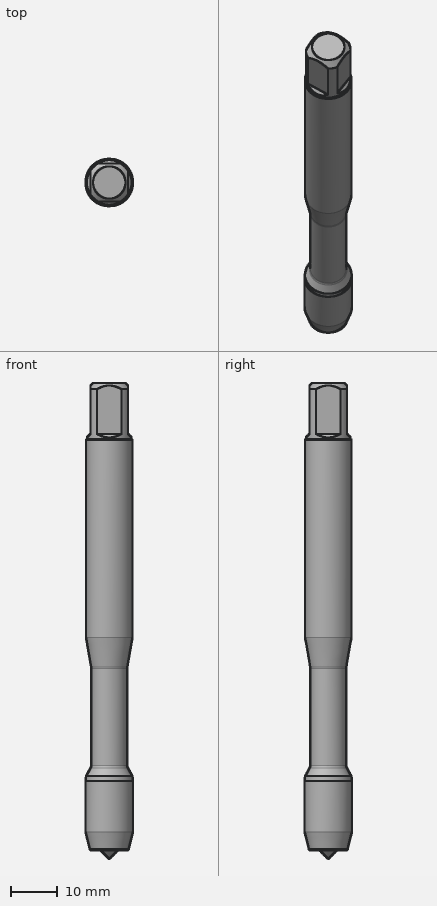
import cadquery as cq

length = 101.6
head_diameter = 10.2
shank_diameter = 10.0
neck_diameter = 7.7

drive_diameter = 9.6
drive_across_flats = 8.0
drive_length = 12.0
drive_flat_length = 10.9
drive_chamfer = 1.3

shank_bottom_z = 47.3
neck_top_z = 40.9
neck_bottom_z = 19.7
shoulder_bottom_z = 17.7
taper_blend_radius = 2.0
shoulder_blend_radius = 1.0

selection_margin = 0.1

head_top_z = 16.7
lead_top_z = 5.8
lead_bottom_z = 2.1
lead_bottom_diameter = 8.3
head_base_z = 1.8

shank_edge_chamfer = (shank_diameter - drive_diameter) / 2
drive_bottom_z = length - drive_length
flat_bottom_z = length - drive_flat_length
head_radius = head_diameter / 2
shank_radius = shank_diameter / 2
neck_radius = neck_diameter / 2
drive_radius = drive_diameter / 2
half_flats = drive_across_flats / 2


def revolve_profile(points):
    """Turn a closed (radius, height) outline about the Z axis."""
    return cq.Workplane("XZ").polyline(points).close().revolve(360, (0, 0, 0), (0, 1, 0))


def make_flat_cutter():
    """Material outside one drive flat, ending in a 45 degree run-out."""
    runout = shank_radius - half_flats
    return (
        cq.Workplane("XZ")
        .moveTo(half_flats, length)
        .lineTo(half_flats, flat_bottom_z)
        .lineTo(shank_radius, flat_bottom_z - runout)
        .lineTo(shank_radius, length)
        .close()
        .extrude(shank_radius, both=True)
    )


def blend_neck_end(shank, height, radius):
    """Round the inside corner where the neck meets a cone at the given height."""
    corner = cq.selectors.BoxSelector(
        (-head_radius, -head_radius, height - selection_margin),
        (head_radius, head_radius, height + selection_margin),
        boundingbox=True,
    )
    return shank.edges(corner).fillet(radius)


def make_shank():
    """Square drive, cylindrical shank, slim neck and the shoulder above the head."""
    shank = revolve_profile([
        (0, head_top_z),
        (head_radius, head_top_z),
        (shank_radius, shoulder_bottom_z),
        (neck_radius, neck_bottom_z),
        (neck_radius, neck_top_z),
        (shank_radius, shank_bottom_z),
        (shank_radius, drive_bottom_z - shank_edge_chamfer),
        (drive_radius, drive_bottom_z),
        (drive_radius, length - drive_chamfer),
        (drive_radius - drive_chamfer, length),
        (0, length),
    ])
    shank = blend_neck_end(shank, neck_top_z, taper_blend_radius)
    shank = blend_neck_end(shank, neck_bottom_z, shoulder_blend_radius)
    cutter = make_flat_cutter()
    for angle in (0, 90, 180, 270):
        shank = shank.cut(cutter.rotate((0, 0, 0), (0, 0, 1), angle))
    return shank


def make_cutting_head():
    """Cylindrical head with a tapered lead and a conical centre point."""
    lead_bottom_radius = lead_bottom_diameter / 2
    base_chamfer = lead_bottom_z - head_base_z
    return revolve_profile([
        (0, 0),
        (head_base_z, head_base_z),
        (lead_bottom_radius - base_chamfer, head_base_z),
        (lead_bottom_radius, lead_bottom_z),
        (head_radius, lead_top_z),
        (head_radius, head_top_z),
        (0, head_top_z),
    ])


shank = make_shank()
cutting_head = make_cutting_head()
result = cq.Compound.makeCompound([shank.val(), cutting_head.val()])